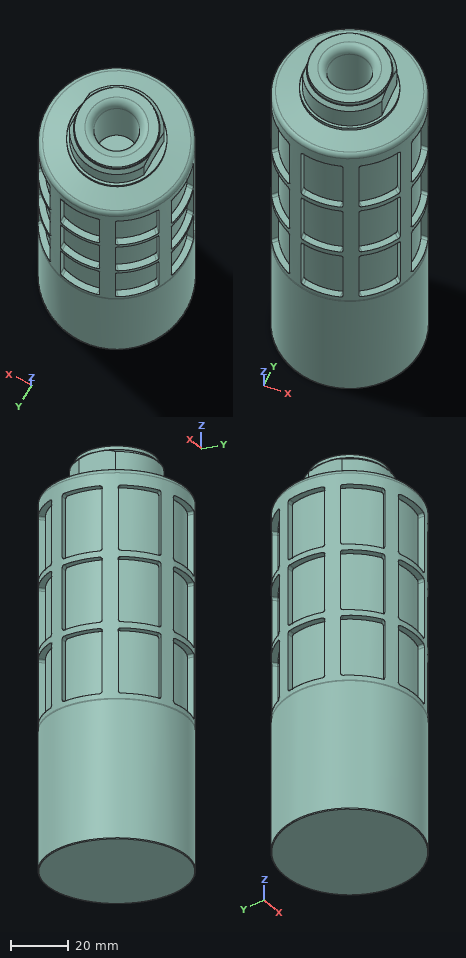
import cadquery as cq
import math

height = 156.5
sleeve_diameter = 55.1
sleeve_top = 53.8
sleeve_edge = 0.3

cage_diameter = 55.0
core_diameter = 50.0
window_count = 8
window_rows = 3
window_width = 15.6
window_height = 25.0
window_gap = 2.3
window_corner = 1.0
first_window_bottom = 55.9

cap_shoulder = 140.4
cap_edge_radius = 1.9
cap_slope = math.radians(9)
collar_diameter = 35.0
collar_top = 144.8

neck_diameter = 33.0
tip_diameter = 29.6
ledge_diameter = 30.2
across_flats = 29.7
bevel_bottom = 153.5
ledge_height = 155.0

bore_diameter = 16.0
bore_depth = 31.3
mouth_radius = 3.1


def make_body():
    """Revolve the sleeve, cage, cap, collar and neck as one profile."""
    sleeve_radius = sleeve_diameter / 2
    cage_radius = cage_diameter / 2
    collar_radius = collar_diameter / 2

    arc_center = cage_radius - cap_edge_radius

    def cap_edge_point(angle):
        return (
            arc_center + cap_edge_radius * math.cos(angle),
            cap_shoulder + cap_edge_radius * math.sin(angle),
        )

    rim_angle = math.pi / 2 - cap_slope
    rim_radius, rim_height = cap_edge_point(rim_angle)
    collar_base = rim_height + (rim_radius - collar_radius) * math.tan(cap_slope)
    return (
        cq.Workplane("XZ")
        .lineTo(sleeve_radius - sleeve_edge, 0)
        .lineTo(sleeve_radius, sleeve_edge)
        .lineTo(sleeve_radius, sleeve_top - sleeve_edge)
        .lineTo(cage_radius, sleeve_top)
        .lineTo(cage_radius, cap_shoulder)
        .threePointArc(cap_edge_point(rim_angle / 2), (rim_radius, rim_height))
        .lineTo(collar_radius, collar_base)
        .lineTo(collar_radius, collar_top)
        .lineTo(neck_diameter / 2, collar_top)
        .lineTo(neck_diameter / 2, bevel_bottom)
        .lineTo(ledge_diameter / 2, ledge_height)
        .lineTo(tip_diameter / 2, ledge_height)
        .lineTo(tip_diameter / 2, height)
        .lineTo(0, height)
        .close()
        .revolve(360, (0, 0, 0), (0, 1, 0))
    )


def make_windows():
    """Rounded windows in rows around the cage, each stopping at the round core."""
    cutters = cq.Workplane("XY")
    for row in range(window_rows):
        middle = first_window_bottom + window_height / 2 + row * (window_height + window_gap)
        window = (
            cq.Workplane("XY")
            .box(sleeve_diameter, window_width, window_height, centered=(False, True, True))
            .edges("|X")
            .fillet(window_corner)
            .translate((0, 0, middle))
        )
        for index in range(window_count):
            cutters = cutters.add(window.rotate((0, 0, 0), (0, 0, 1), index * 360 / window_count))
    core = cq.Workplane("XY").circle(core_diameter / 2).extrude(height)
    return cutters.combine().cut(core)


def make_flat_cutter(side):
    """Block that leaves a wrench flat on the +X or -X side of the neck."""
    thickness = neck_diameter - across_flats
    return (
        cq.Workplane("XY")
        .box(thickness, neck_diameter, height - collar_top, centered=(True, True, False))
        .translate((side * (across_flats + thickness) / 2, 0, collar_top))
    )


def make_bore():
    """Blind bore whose mouth flares out in a quarter round."""
    bore_radius = bore_diameter / 2
    flare_start = height - mouth_radius
    return (
        cq.Workplane("XZ")
        .moveTo(0, height - bore_depth)
        .lineTo(bore_radius, height - bore_depth)
        .lineTo(bore_radius, flare_start)
        .radiusArc((bore_radius + mouth_radius, height), mouth_radius)
        .lineTo(0, height)
        .close()
        .revolve(360, (0, 0, 0), (0, 1, 0))
    )


result = make_body().cut(make_windows())
for side in (-1, 1):
    result = result.cut(make_flat_cutter(side))
result = result.cut(make_bore())